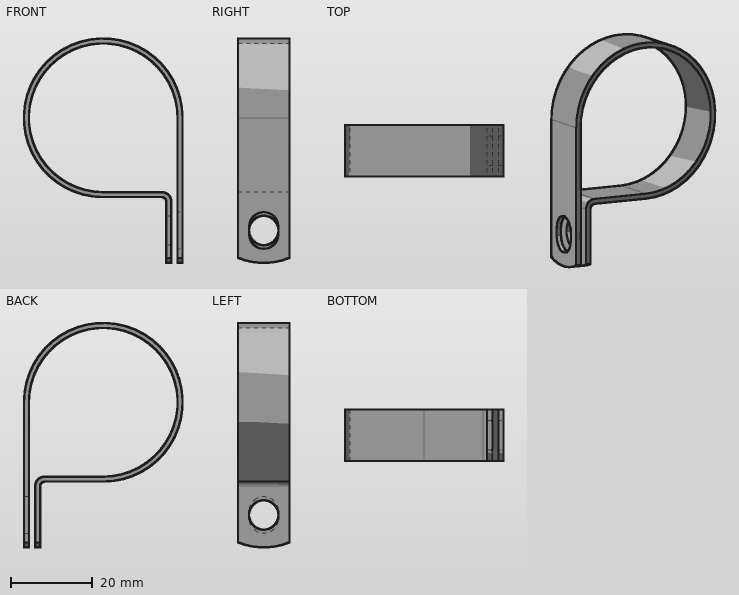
import cadquery as cq
import math

total_height = 55.1
loop_diameter = 38.95
strip_width = 12.7
strip_thickness = 1.25

leg_gap = 1.5
bend_inner_radius = 1.1
hole_diameter = 7.15
slot_length = 9.0
hole_height = 8.0
tip_sagitta = 1.25

outer_radius = loop_diameter / 2
inner_radius = outer_radius - strip_thickness
bend_outer_radius = bend_inner_radius + strip_thickness
leg_bottom = outer_radius - total_height
short_leg_outside = inner_radius - leg_gap
short_leg_inside = short_leg_outside - strip_thickness
bend_center_x = short_leg_outside - bend_outer_radius
bend_center_z = -inner_radius - bend_outer_radius
half_width = strip_width / 2
diagonal = math.sqrt(0.5)


def strip_body():
    """Loop, flat run, bend and both legs as one extruded profile."""
    profile = (
        cq.Workplane("XZ")
        .moveTo(outer_radius, leg_bottom)
        .lineTo(outer_radius, 0)
        .threePointArc((-outer_radius * diagonal, outer_radius * diagonal), (0, -outer_radius))
        .lineTo(bend_center_x, -outer_radius)
        .threePointArc(
            (
                bend_center_x + bend_inner_radius * diagonal,
                bend_center_z + bend_inner_radius * diagonal,
            ),
            (short_leg_inside, bend_center_z),
        )
        .lineTo(short_leg_inside, leg_bottom)
        .lineTo(short_leg_outside, leg_bottom)
        .lineTo(short_leg_outside, bend_center_z)
        .threePointArc(
            (
                bend_center_x + bend_outer_radius * diagonal,
                bend_center_z + bend_outer_radius * diagonal,
            ),
            (bend_center_x, -inner_radius),
        )
        .lineTo(0, -inner_radius)
        .threePointArc((-inner_radius * diagonal, inner_radius * diagonal), (inner_radius, 0))
        .lineTo(inner_radius, leg_bottom)
        .close()
    )
    return profile.extrude(half_width, both=True)


def side_envelope():
    """Block with an arched lower end that rounds the tips of the legs."""
    tip_corner = leg_bottom + tip_sagitta
    return (
        cq.Workplane("YZ")
        .moveTo(-half_width, outer_radius)
        .lineTo(-half_width, tip_corner)
        .threePointArc((0, leg_bottom), (half_width, tip_corner))
        .lineTo(half_width, outer_radius)
        .close()
        .extrude(outer_radius, both=True)
    )


def short_leg_hole():
    """Round hole through the short leg only."""
    return (
        cq.Workplane("YZ", origin=(short_leg_inside, 0, leg_bottom + hole_height))
        .circle(hole_diameter / 2)
        .extrude(strip_thickness)
    )


def long_leg_slot():
    """Upright slot through the long leg, centred on the round hole and equally wide."""
    return (
        cq.Workplane("YZ", origin=(inner_radius, 0, leg_bottom + hole_height))
        .slot2D(slot_length, hole_diameter, angle=90)
        .extrude(strip_thickness)
    )


result = (
    strip_body()
    .intersect(side_envelope())
    .cut(short_leg_hole())
    .cut(long_leg_slot())
)